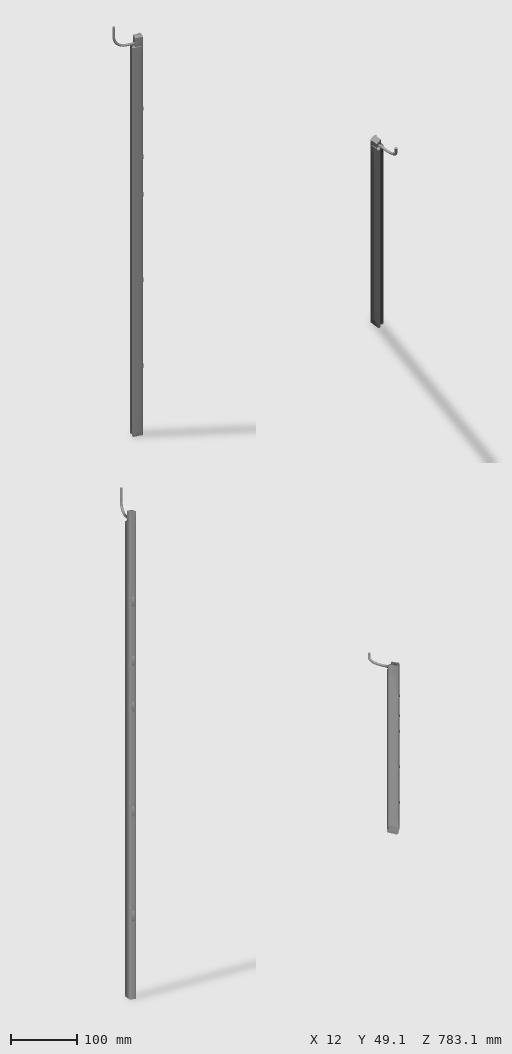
import cadquery as cq

overall_depth = 49.1
overall_height = 783.15

insert_length = 756.0
head_width = 12.0
head_depth = 3.3
head_rounding = 2.9
stem_width = 10.0
insert_depth = 12.5

rail_width = head_width
rail_front = -17.3
rail_front_rounding = 1.0
rail_bottom = 1.0
rail_top = 739.0
groove_width = 3.6
groove_depth = 2.0

bump_height = 1.5
bump_length = 15.2
bump_width = 4.0
bump_root = 1.0
bump_heights_on_bar = [129.0, 291.5, 454.0, 525.0, 617.0]

cable_diameter = 4.0
cable_bend_radius = 20.0
cable_upright_length = 20.0
cable_root = 1.0
cable_axis_z = overall_height - cable_upright_length - cable_bend_radius
cable_front = bump_height - overall_depth
cable_upright_y = cable_front + cable_diameter / 2
cable_bend_start_y = cable_upright_y + cable_bend_radius
cable_start_y = cable_root - insert_depth


def block(width, back, front, bottom, top):
    """Upright box centred on X = 0, from Y = front to Y = back."""
    return (
        cq.Workplane("XY", origin=(0, (back + front) / 2, bottom))
        .rect(width, back - front)
        .extrude(top - bottom)
    )


def make_bump(center_z):
    """Round-backed bump standing on the back of the insert."""
    half_length = bump_length / 2
    return (
        cq.Workplane("YZ", origin=(-bump_width / 2, 0, center_z))
        .moveTo(-bump_root, -half_length)
        .lineTo(0, -half_length)
        .threePointArc((bump_height, 0), (0, half_length))
        .lineTo(-bump_root, half_length)
        .close()
        .extrude(bump_width)
    )


def make_cable():
    """Round cable with a quarter bend from level to upright."""
    path = (
        cq.Workplane("YZ")
        .moveTo(cable_start_y, cable_axis_z)
        .lineTo(cable_bend_start_y, cable_axis_z)
        .tangentArcPoint((-cable_bend_radius, cable_bend_radius))
        .lineTo(cable_upright_y, overall_height)
    )
    return (
        cq.Workplane("XZ", origin=(0, cable_start_y, cable_axis_z))
        .circle(cable_diameter / 2)
        .sweep(path)
    )


def make_insert():
    """Insert with its head, stem, bumps and cable as one solid."""
    head = block(head_width, 0, -head_depth, 0, insert_length)
    head = head.faces(">Y").edges("|Z").fillet(head_rounding)
    insert = head.union(block(stem_width, -head_depth, -insert_depth, 0, insert_length))
    for center_z in bump_heights_on_bar:
        insert = insert.union(make_bump(center_z))
    return insert.union(make_cable())


def make_rail():
    """Rail with a channel at the back for the stem and a narrow groove along the front."""
    rail = block(rail_width, -head_depth, rail_front, rail_bottom, rail_top)
    rail = rail.faces("<Y").edges("|Z").fillet(rail_front_rounding)
    channel = block(stem_width, -head_depth, -insert_depth, rail_bottom, rail_top)
    groove = block(groove_width, rail_front + groove_depth, rail_front, rail_bottom, rail_top)
    return rail.cut(channel).cut(groove)


insert = make_insert()
rail = make_rail()

result = cq.Compound.makeCompound([insert.val(), rail.val()])